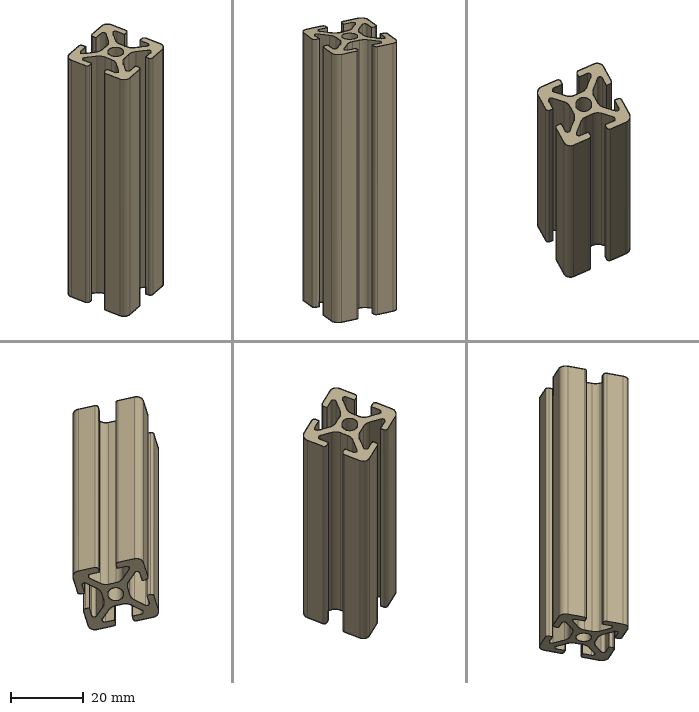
import cadquery as cq
import math

length = 80.0
side = 20.0
corner_radius = 2.0

slot_opening = side / 4
lip_thickness = 1.8
lip_radius = 0.8

core_side = 7.4
rib_thickness = 1.9
chamber_corner_radius = 0.7
core_fillet_radius = 3.0

bore_diameter = 4.3

half_side = side / 2
half_opening = slot_opening / 2
half_core = core_side / 2
lip_inner = half_side - lip_thickness
rib_face_offset = rib_thickness / 2 * math.sqrt(2)


def make_bar():
    bar = cq.Workplane("XY").rect(side, side).extrude(length)
    return bar.edges("|Z").fillet(corner_radius)


def make_chamber():
    """Trapezoid between the core, two ribs and the back of the lips, on the +Y side."""
    half_floor = half_core - rib_face_offset
    half_roof = lip_inner - rib_face_offset
    chamber = (
        cq.Workplane("XY")
        .polyline([
            (-half_floor, half_core),
            (half_floor, half_core),
            (half_roof, lip_inner),
            (-half_roof, lip_inner),
        ])
        .close()
        .extrude(length)
    )
    chamber = chamber.faces(">Y").edges("|Z").fillet(chamber_corner_radius)
    return chamber.faces("<Y").edges("|Z").fillet(core_fillet_radius)


def make_opening():
    """Gap between the lips, flaring outwards so that their outer edges are rounded."""
    flare_start = half_side - lip_radius
    half_mouth = half_opening + lip_radius
    arc_inset = lip_radius * (1 - math.sqrt(0.5))
    arc_x = half_opening + arc_inset
    arc_y = half_side - arc_inset
    return (
        cq.Workplane("XY")
        .moveTo(-half_opening, lip_inner)
        .lineTo(half_opening, lip_inner)
        .lineTo(half_opening, flare_start)
        .threePointArc((arc_x, arc_y), (half_mouth, half_side))
        .lineTo(-half_mouth, half_side)
        .threePointArc((-arc_x, arc_y), (-half_opening, flare_start))
        .close()
        .extrude(length)
    )


slot = make_chamber().union(make_opening())

result = make_bar()
for quarter_turn in range(4):
    result = result.cut(slot.rotate((0, 0, 0), (0, 0, 1), 90 * quarter_turn))

result = result.faces(">Z").workplane(origin=(0, 0, 0)).hole(bore_diameter)